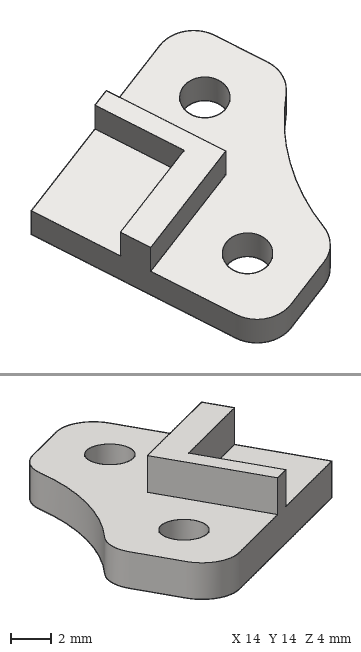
import cadquery as cq
import math

side = 14.0
plate_thickness = 2.0
corner_radius = 2.0

scoop_center = 18.0
scoop_radius = 12.25

hole_diameter = 2.5
hole_positions = [(3.6, 10.5), (10.5, 3.5)]

total_height = 4.0
wall_outer = 7.01
pocket_x = 5.24
pocket_y = 5.95


def mirrored(point):
    """Reflect a point across the plate's diagonal."""
    return point[1], point[0]


def round_point(center, angle):
    """Point on a corner round at the given angle in radians."""
    return (
        center[0] + corner_radius * math.cos(angle),
        center[1] + corner_radius * math.sin(angle),
    )


def make_plate():
    round_y = side - corner_radius
    rise = scoop_center - round_y
    run = math.sqrt((scoop_radius + corner_radius) ** 2 - rise**2)
    inner_round = (scoop_center - run, round_y)
    tangent_angle = math.atan2(rise, run)

    side_end = (inner_round[0], side)
    round_middle = round_point(inner_round, (tangent_angle + math.pi / 2) / 2)
    scoop_start = round_point(inner_round, tangent_angle)
    scoop_depth = scoop_center - scoop_radius / math.sqrt(2)

    outer_round = (corner_radius, side - corner_radius)
    outer_middle = round_point(outer_round, 3 * math.pi / 4)

    return (
        cq.Workplane("XY")
        .lineTo(0, side - corner_radius)
        .threePointArc(outer_middle, (corner_radius, side))
        .lineTo(*side_end)
        .threePointArc(round_middle, scoop_start)
        .threePointArc((scoop_depth, scoop_depth), mirrored(scoop_start))
        .threePointArc(mirrored(round_middle), mirrored(side_end))
        .lineTo(side, corner_radius)
        .threePointArc(mirrored(outer_middle), (side - corner_radius, 0))
        .close()
        .extrude(plate_thickness)
    )


def make_wall():
    wall_height = total_height - plate_thickness
    base = cq.Workplane("XY").workplane(offset=plate_thickness)
    block = base.rect(wall_outer, wall_outer, centered=False).extrude(wall_height)
    pocket = base.rect(pocket_x, pocket_y, centered=False).extrude(wall_height)
    return block.cut(pocket)


def make_holes():
    return (
        cq.Workplane("XY")
        .pushPoints(hole_positions)
        .circle(hole_diameter / 2)
        .extrude(plate_thickness)
    )


result = make_plate().union(make_wall()).cut(make_holes())